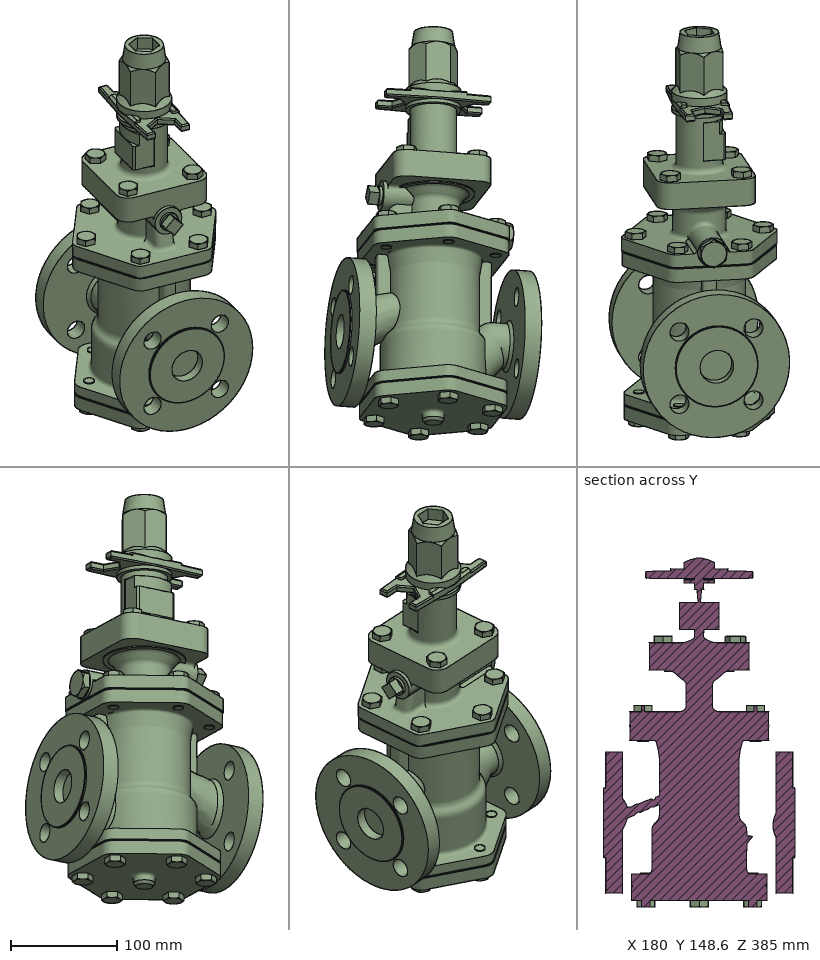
import cadquery as cq
import math

COS30 = math.cos(math.radians(30))

FACE_TO_FACE = 180
FLANGE_RADIUS = 70
FLANGE_THICKNESS = 16
RAISED_FACE_HEIGHT = 2
RAISED_FACE_RADIUS = 39.5
RAISED_FACE_CHAMFER = 0.7
FLANGE_INNER_X = FACE_TO_FACE / 2 - RAISED_FACE_HEIGHT - FLANGE_THICKNESS
PORT_RADIUS = 16
PORT_DEPTH = 10
FLANGE_HOLE_DIAMETER = 18
FLANGE_HOLE_CIRCLE = 100
NECK_FLARE = 3

PLUG_BOTTOM_Z = -83
BOTTOM_COVER_Z = -73.3
BOTTOM_SEAM_Z = -59.5
BODY_BASE_Z = -48.2
BODY_HEAD_Z = 77.2
COVER_SEAM_Z = 91
COVER_TOP_Z = 104.3
SQUARE_BOTTOM_Z = 143.3
SQUARE_SEAM_Z = 156.3
SQUARE_TOP_Z = 169.3
LOWER_COLLAR_Z = 225
HANDLE_BOTTOM_Z = 229.3
HANDLE_TOP_Z = 236.5
CAP_CYLINDER_TOP_Z = 244.4
CAP_HEX_TOP_Z = 287
CAP_TOP_Z = 302

COVER_APOTHEM = 65.5
COVER_OVERALL_Y = 148.55
COVER_CORNER_RADIUS = (COVER_APOTHEM / COS30 - COVER_OVERALL_Y / 2) / (1 / COS30 - 1)
CAST_CORNER_RADIUS = 13
BOTTOM_APOTHEM = 63.9
GASKET_THICKNESS = 1.2
GASKET_INSET = 0.8

BOLT_WIDTH = 17
BOLT_HEAD_HEIGHT = 6
BOLT_CHAMFER_DROP = 0.6
STUD_RADIUS = 5
STUD_PROJECTION = 1
COVER_BOLT_RADIUS = 61
BOTTOM_BOLT_RADIUS = 58

SQUARE_WIDTH = 94
SQUARE_CORNER_RADIUS = 13
SQUARE_BOLT_OFFSET = 34

BODY_LOWER_RADIUS = 49.8
BODY_UPPER_RADIUS = 43.5
RIB_REACH = 55
RIB_WIDTH = 12.6
RIB_BOTTOM_Z = 5
RIB_CORNER_RADIUS = 2

BONNET_RADIUS = 25
BONNET_FILLET = 4.4
PILOT_BOSS_Z = 105.8
PILOT_BOSS_RADIUS = 14
PILOT_BOSS_END_X = -68
PILOT_ROOT_FILLET = 4
PILOT_PLUG_END_X = -75
PILOT_PLUG_WIDTH = 24
BOSS_FILLET_HALF_WIDTH = 17.4
BOSS_FILLET_HEIGHT = 4.5
SIDE_BOSS_Z = 137
SIDE_BOSS_RADIUS = 14
SIDE_BOSS_END_X = 50.8
SIDE_BOSS_BLEND = 3.3
SIDE_PLUG_NECK_X = 53.7
SIDE_PLUG_NECK_RADIUS = 9
SIDE_PLUG_END_X = 63.3
SIDE_PLUG_SIDE = 13
GUSSET_HALF_WIDTH = 9.6
GUSSET_CORNER_RADIUS = 6
GUSSET_FOOT_FILLET = 4.4

COLUMN_RADIUS = 22
COLUMN_FILLET = 5.5
PAD_HALF_WIDTH = 20.5
PAD_FRONT_Y = -21.6
PAD_BOTTOM_Z = 181.5
PAD_STEP_Z = 207
PAD_TOP_Z = 219
PAD_CHAMFER = 2
PAD_ARC_END_Y = -15.4

COLLAR_RADIUS = 26
COLLAR_HEIGHT = 3.5
HANDLE_HALF_LENGTH = 50.5
HANDLE_TIP_Y = 22.5
HANDLE_MIDDLE_Y = 25
NOTCH_HALF_WIDTH = 13.5
NOTCH_SHOULDER_X = 36.5
NOTCH_BOTTOM_X = 28
HANDLE_CHAMFER = 1.3
HANDLE_PAD_HALF_LENGTH = 27
HANDLE_PAD_INNER_Y = 16.5
HANDLE_PAD_SLOPE_WIDTH = 4
HANDLE_PAD_HEIGHT = 2.6
HANDLE_PAD_CORNER_RADIUS = 2.5
CAP_HEX_WIDTH = 41
CAP_NECK_RADIUS = 20.5
CAP_TIP_RADIUS = 18.2
CAP_CHAMFER_DROP = 3.3
SOCKET_WIDTH = 25
SOCKET_DEPTH = 12


def hexagon(width_across_flats, corners_on_y=False):
    """Hexagonal sketch with corners on the local X axis, or on the local Y axis."""
    sketch = cq.Sketch().regularPolygon(width_across_flats / 2 / COS30, 6)
    return sketch if corners_on_y else sketch.moved(cq.Location(cq.Vector(), cq.Vector(0, 0, 1), 30))


def disc(radius, bottom, top):
    return cq.Workplane("XY").workplane(offset=bottom).circle(radius).extrude(top - bottom)


def x_cylinder(radius, start_x, end_x, z=0):
    return cq.Workplane("YZ", origin=(start_x, 0, z)).circle(radius).extrude(end_x - start_x)


def block(x_range, y_range, z_range):
    size = [high - low for low, high in (x_range, y_range, z_range)]
    return cq.Workplane("XY").box(*size, centered=False).translate((x_range[0], y_range[0], z_range[0]))


def hexagonal_plate(apothem, corner_radius, bottom, top):
    plate = cq.Workplane("XY").workplane(offset=bottom).placeSketch(hexagon(2 * apothem, True))
    return plate.extrude(top - bottom).edges("|Z").fillet(corner_radius)


def cover_pair(apothem, upper_corner, lower_corner, bottom, seam, top):
    """Two bolted hexagonal plates with a slightly recessed gasket between them."""
    gasket_bottom = seam - GASKET_THICKNESS / 2
    gasket_top = seam + GASKET_THICKNESS / 2
    lower = hexagonal_plate(apothem, lower_corner, bottom, gasket_bottom)
    gasket = hexagonal_plate(apothem - GASKET_INSET, lower_corner, gasket_bottom, gasket_top)
    upper = hexagonal_plate(apothem, upper_corner, gasket_top, top)
    return lower.union(gasket).union(upper)


def bolt_head(corners_on_y):
    """Hexagonal head standing on Z = 0, its top edge turned down to a circle."""
    head = cq.Workplane("XY").placeSketch(hexagon(BOLT_WIDTH, corners_on_y)).extrude(BOLT_HEAD_HEIGHT)
    corner = BOLT_WIDTH / 2 / COS30
    turned = (
        cq.Workplane("XZ")
        .moveTo(0, 0)
        .lineTo(corner, 0)
        .lineTo(corner, BOLT_HEAD_HEIGHT - BOLT_CHAMFER_DROP)
        .lineTo(BOLT_WIDTH / 2, BOLT_HEAD_HEIGHT)
        .lineTo(0, BOLT_HEAD_HEIGHT)
        .close()
        .revolve(360, (0, 0), (0, 1))
    )
    return head.intersect(turned)


def bolt_ring(radius):
    """Six bolt positions, the first on the Y axis."""
    angles = [math.radians(90 + 60 * i) for i in range(6)]
    return [(radius * math.cos(a), radius * math.sin(a)) for a in angles]


def pipe_flange(side):
    """Flange with raised face and bolt holes; side is -1 for -X and 1 for +X."""
    outer_x = FACE_TO_FACE / 2 - RAISED_FACE_HEIGHT
    flange = x_cylinder(FLANGE_RADIUS, FLANGE_INNER_X, outer_x)
    face = x_cylinder(RAISED_FACE_RADIUS, outer_x, FACE_TO_FACE / 2)
    flange = flange.union(face.faces(">X").chamfer(RAISED_FACE_CHAMFER))
    holes = (
        cq.Workplane("YZ", origin=(FLANGE_INNER_X, 0, 0))
        .polarArray(FLANGE_HOLE_CIRCLE / 2, 45, 360, 4)
        .circle(FLANGE_HOLE_DIAMETER / 2)
        .extrude(FLANGE_THICKNESS)
    )
    flange = flange.cut(holes)
    return flange if side > 0 else flange.mirror("YZ")


def port(side):
    """Blind bore entering from the raised face."""
    outer_x = side * FACE_TO_FACE / 2
    return x_cylinder(PORT_RADIUS, outer_x, outer_x - side * PORT_DEPTH)


def body_barrel():
    """Turned body: wide lower chamber, curved shoulder, narrow upper chamber, flared head."""
    base_fillet = 4
    shoulder_bottom = -7
    shoulder_middle = 0
    shoulder_top = 6.7
    middle_radius = (BODY_LOWER_RADIUS + BODY_UPPER_RADIUS) / 2
    head_cone_bottom = 61.4
    head_cone_top = 74.7
    head_radius = 45.8
    head_fillet = BODY_HEAD_Z - head_cone_top
    return (
        cq.Workplane("XZ")
        .moveTo(0, BODY_BASE_Z)
        .lineTo(BODY_LOWER_RADIUS + base_fillet, BODY_BASE_Z)
        .radiusArc((BODY_LOWER_RADIUS, BODY_BASE_Z + base_fillet), base_fillet)
        .lineTo(BODY_LOWER_RADIUS, shoulder_bottom)
        .tangentArcPoint((middle_radius, shoulder_middle), relative=False)
        .tangentArcPoint((BODY_UPPER_RADIUS, shoulder_top), relative=False)
        .lineTo(BODY_UPPER_RADIUS, head_cone_bottom)
        .lineTo(head_radius, head_cone_top)
        .radiusArc((head_radius + head_fillet, BODY_HEAD_Z), head_fillet)
        .lineTo(0, BODY_HEAD_Z)
        .close()
        .revolve(360, (0, 0), (0, 1))
    )


def cone_along(start, direction, length, start_radius, end_radius):
    return cq.Workplane(
        cq.Solid.makeCone(start_radius, end_radius, length, cq.Vector(*start), cq.Vector(*direction))
    )


def inlet():
    """Elbow leaving the -X flange horizontally and dropping into the lower chamber."""
    pipe_radius = 21.5
    elbow_x = -57
    elbow_z = -2.5
    drop_angle = math.radians(48)
    drop_length = 50
    drop_end_radius = 22
    flare_radius = pipe_radius + NECK_FLARE
    horizontal = x_cylinder(pipe_radius, -FLANGE_INNER_X, elbow_x, elbow_z)
    flare = cone_along((-FLANGE_INNER_X, 0, elbow_z), (1, 0, 0), NECK_FLARE, flare_radius, pipe_radius)
    elbow = cq.Workplane("XY").sphere(pipe_radius).translate((elbow_x, 0, elbow_z))
    drop_direction = (math.cos(drop_angle), 0, -math.sin(drop_angle))
    drop = cone_along((elbow_x, 0, elbow_z), drop_direction, drop_length, pipe_radius, drop_end_radius)
    above_base = block((-FLANGE_INNER_X, 0), (-FLANGE_RADIUS, FLANGE_RADIUS), (BODY_BASE_Z, BODY_HEAD_Z))
    return horizontal.union(flare).union(elbow).union(drop).intersect(above_base)


def elliptic_pipe(start, end):
    """Straight-sided pipe between two upright ellipses, each given as x, z, half width and half height."""
    start_x, start_z, start_half_width, start_half_height = start
    end_x, end_z, end_half_width, end_half_height = end
    return (
        cq.Workplane("YZ", origin=(start_x, 0, start_z))
        .ellipse(start_half_width, start_half_height)
        .workplane(offset=end_x - start_x)
        .center(0, end_z - start_z)
        .ellipse(end_half_width, end_half_height)
        .loft(ruled=True)
    )


def outlet():
    """Oval pipe rising from the +X flange into the upper chamber, flared where it meets the flange."""
    half_width = 22
    neck_half_height = 26
    inner_end = (25, 26, half_width, 19)
    neck = (67.5, 9.3, half_width, neck_half_height)
    root = (FLANGE_INNER_X, 8, half_width + NECK_FLARE, neck_half_height + NECK_FLARE)
    return elliptic_pipe(inner_end, neck).union(elliptic_pipe(neck, root))


def body_ribs():
    rib = block((-RIB_REACH, RIB_REACH), (-RIB_WIDTH / 2, RIB_WIDTH / 2), (RIB_BOTTOM_Z, BODY_HEAD_Z))
    return rib.edges("|Z").fillet(RIB_CORNER_RADIUS)


def bottom_plug():
    plug_radius = 10.2
    tip_radius = 8
    root_fillet = 3
    tip_height = 3
    return (
        cq.Workplane("XZ")
        .moveTo(0, BOTTOM_COVER_Z)
        .lineTo(plug_radius + root_fillet, BOTTOM_COVER_Z)
        .radiusArc((plug_radius, BOTTOM_COVER_Z - root_fillet), -root_fillet)
        .lineTo(plug_radius, PLUG_BOTTOM_Z + tip_height)
        .lineTo(tip_radius, PLUG_BOTTOM_Z)
        .lineTo(0, PLUG_BOTTOM_Z)
        .close()
        .revolve(360, (0, 0), (0, 1))
    )


def bonnet():
    """Turned neck between the cover and the square flanges, flared at both ends."""
    disc_radius = 39
    disc_bottom = SQUARE_BOTTOM_Z - 1.2
    flare_bottom = 130
    flare_start = (27.3, 135)
    flare_end = (31, 139.8)
    flare_root_radius = 34
    return (
        cq.Workplane("XZ")
        .moveTo(0, COVER_TOP_Z)
        .lineTo(BONNET_RADIUS + BONNET_FILLET, COVER_TOP_Z)
        .radiusArc((BONNET_RADIUS, COVER_TOP_Z + BONNET_FILLET), BONNET_FILLET)
        .lineTo(BONNET_RADIUS, flare_bottom)
        .tangentArcPoint(flare_start, relative=False)
        .lineTo(*flare_end)
        .tangentArcPoint((flare_root_radius, disc_bottom), relative=False)
        .lineTo(disc_radius, disc_bottom)
        .lineTo(disc_radius, SQUARE_BOTTOM_Z)
        .lineTo(0, SQUARE_BOTTOM_Z)
        .close()
        .revolve(360, (0, 0), (0, 1))
    )


def pilot_boss():
    """Round boss lying in the cover towards -X, closed by a hexagonal plug."""
    plug_length = PILOT_BOSS_END_X - PILOT_PLUG_END_X
    boss = x_cylinder(PILOT_BOSS_RADIUS, PILOT_BOSS_END_X, 0, PILOT_BOSS_Z)
    plug = (
        cq.Workplane("YZ", origin=(PILOT_PLUG_END_X, 0, PILOT_BOSS_Z))
        .placeSketch(hexagon(PILOT_PLUG_WIDTH, True))
        .extrude(plug_length)
    )
    rim = x_cylinder(PILOT_BOSS_RADIUS, PILOT_PLUG_END_X, PILOT_BOSS_END_X, PILOT_BOSS_Z)
    plug = plug.intersect(rim.faces("<X").chamfer(PILOT_BOSS_RADIUS - PILOT_PLUG_WIDTH / 2))
    fillet_top_half_width = 12.7
    fillet_strip = (
        cq.Workplane("YZ", origin=(-COVER_APOTHEM, 0, COVER_TOP_Z))
        .moveTo(-BOSS_FILLET_HALF_WIDTH, 0)
        .radiusArc((-fillet_top_half_width, BOSS_FILLET_HEIGHT), -BOSS_FILLET_HALF_WIDTH / 2)
        .lineTo(fillet_top_half_width, BOSS_FILLET_HEIGHT)
        .radiusArc((BOSS_FILLET_HALF_WIDTH, 0), -BOSS_FILLET_HALF_WIDTH / 2)
        .close()
        .extrude(COVER_APOTHEM)
    )
    core_bottom = PILOT_BOSS_Z - PILOT_BOSS_RADIUS - 2 * PILOT_ROOT_FILLET
    core = disc(BONNET_RADIUS, core_bottom, SQUARE_BOTTOM_Z)
    root_top = PILOT_BOSS_Z + PILOT_BOSS_RADIUS
    root_bottom = PILOT_BOSS_Z - PILOT_BOSS_RADIUS
    margin = 1
    root_edge = cq.selectors.BoxSelector(
        (-BONNET_RADIUS - margin, -BONNET_RADIUS, root_bottom - margin),
        (-margin, BONNET_RADIUS, root_top + margin),
    )
    boss = core.union(boss).edges("not(#Z or |Z)").edges(root_edge).fillet(PILOT_ROOT_FILLET)
    return boss.union(plug).union(fillet_strip)


def gusset():
    """Rounded rib standing on the cover under the side boss, filleted at its foot."""
    foot_x = 48
    head_x = 40
    rib = (
        cq.Workplane("XZ", origin=(0, GUSSET_HALF_WIDTH, 0))
        .moveTo(0, COVER_TOP_Z)
        .lineTo(foot_x, COVER_TOP_Z)
        .lineTo(head_x, SIDE_BOSS_Z)
        .lineTo(0, SIDE_BOSS_Z)
        .close()
        .extrude(2 * GUSSET_HALF_WIDTH)
    )
    rib = rib.faces(">X").edges("not |Y").fillet(GUSSET_CORNER_RADIUS)
    seat_half_width = COVER_APOTHEM / 2
    seat = block((0, COVER_APOTHEM), (-seat_half_width, seat_half_width), (COVER_SEAM_Z, COVER_TOP_Z))
    margin = 1
    reach_y = GUSSET_HALF_WIDTH + margin
    foot_edges = cq.selectors.BoxSelector(
        (margin, -reach_y, COVER_TOP_Z - margin), (COVER_APOTHEM - margin, reach_y, COVER_TOP_Z + margin)
    )
    return seat.union(rib).edges(foot_edges).fillet(GUSSET_FOOT_FILLET)


def side_boss():
    """Boss towards +X that blends up into the square flange and holds a square-headed plug."""
    boss = x_cylinder(SIDE_BOSS_RADIUS, 0, SIDE_BOSS_END_X, SIDE_BOSS_Z)
    neck = x_cylinder(SIDE_PLUG_NECK_RADIUS, SIDE_BOSS_END_X, SIDE_PLUG_NECK_X, SIDE_BOSS_Z)
    plug = (
        cq.Workplane("YZ", origin=(SIDE_PLUG_NECK_X, 0, SIDE_BOSS_Z))
        .transformed(rotate=(0, 0, 45))
        .rect(SIDE_PLUG_SIDE, SIDE_PLUG_SIDE)
        .extrude(SIDE_PLUG_END_X - SIDE_PLUG_NECK_X)
    )
    blend_bottom_z = SQUARE_BOTTOM_Z - SIDE_BOSS_BLEND
    blend_bottom_y = math.sqrt(SIDE_BOSS_RADIUS**2 - (blend_bottom_z - SIDE_BOSS_Z) ** 2)
    blend_top_y = blend_bottom_y + SIDE_BOSS_BLEND
    blend = (
        cq.Workplane("YZ")
        .moveTo(-blend_top_y, SQUARE_BOTTOM_Z)
        .radiusArc((-blend_bottom_y, blend_bottom_z), SIDE_BOSS_BLEND)
        .lineTo(blend_bottom_y, blend_bottom_z)
        .radiusArc((blend_top_y, SQUARE_BOTTOM_Z), SIDE_BOSS_BLEND)
        .close()
        .extrude(SQUARE_WIDTH / 2)
    )
    return boss.union(neck).union(plug).union(blend)


def square_plate(bottom, top):
    plate = cq.Workplane("XY").workplane(offset=bottom).rect(SQUARE_WIDTH, SQUARE_WIDTH)
    return plate.extrude(top - bottom).edges("|Z").fillet(SQUARE_CORNER_RADIUS)


def column():
    """Round column with a flat-sided pad on its -Y half, stepped back to an arc at the top."""
    shaft = (
        cq.Workplane("XZ")
        .moveTo(0, SQUARE_TOP_Z)
        .lineTo(COLUMN_RADIUS + COLUMN_FILLET, SQUARE_TOP_Z)
        .radiusArc((COLUMN_RADIUS, SQUARE_TOP_Z + COLUMN_FILLET), COLUMN_FILLET)
        .lineTo(COLUMN_RADIUS, LOWER_COLLAR_Z)
        .lineTo(0, LOWER_COLLAR_Z)
        .close()
        .revolve(360, (0, 0), (0, 1))
    )
    recess = block((-2 * COLUMN_RADIUS, 2 * COLUMN_RADIUS), (-2 * COLUMN_RADIUS, 0), (PAD_BOTTOM_Z, PAD_TOP_Z))
    pad = block((-PAD_HALF_WIDTH, PAD_HALF_WIDTH), (PAD_FRONT_Y, 0), (PAD_BOTTOM_Z, PAD_STEP_Z))
    pad = pad.edges("|Z and <Y").chamfer(PAD_CHAMFER)
    step = (
        cq.Workplane("XY")
        .workplane(offset=PAD_STEP_Z)
        .moveTo(-PAD_HALF_WIDTH, 0)
        .lineTo(-PAD_HALF_WIDTH, PAD_ARC_END_Y)
        .threePointArc((0, PAD_FRONT_Y), (PAD_HALF_WIDTH, PAD_ARC_END_Y))
        .lineTo(PAD_HALF_WIDTH, 0)
        .close()
        .extrude(PAD_TOP_Z - PAD_STEP_Z)
    )
    return shaft.cut(recess).union(pad).union(step)


def handle():
    """Flat handle with a V notch between two tips at each end and a sloped pad along each side."""
    right_end = [
        (0, HANDLE_MIDDLE_Y),
        (HANDLE_HALF_LENGTH, HANDLE_TIP_Y),
        (HANDLE_HALF_LENGTH, NOTCH_HALF_WIDTH),
        (NOTCH_SHOULDER_X, NOTCH_HALF_WIDTH),
        (NOTCH_BOTTOM_X, 0),
        (NOTCH_SHOULDER_X, -NOTCH_HALF_WIDTH),
        (HANDLE_HALF_LENGTH, -NOTCH_HALF_WIDTH),
        (HANDLE_HALF_LENGTH, -HANDLE_TIP_Y),
    ]
    left_end = [(-x, -y) for x, y in right_end]
    base_plane = cq.Workplane("XY").workplane(offset=HANDLE_BOTTOM_Z)
    plate = base_plane.polyline(right_end + left_end).close().extrude(HANDLE_TOP_Z - HANDLE_BOTTOM_Z)
    plate = plate.faces("|Z").chamfer(HANDLE_CHAMFER)
    pad_x = (-HANDLE_PAD_HALF_LENGTH, HANDLE_PAD_HALF_LENGTH)
    pad_y = (HANDLE_PAD_INNER_Y, HANDLE_MIDDLE_Y)
    pad_top_z = HANDLE_TOP_Z + HANDLE_PAD_HEIGHT
    pad = block(pad_x, pad_y, (HANDLE_TOP_Z - HANDLE_CHAMFER, pad_top_z))
    pad = pad.edges(">Y and >Z").chamfer(HANDLE_PAD_HEIGHT, HANDLE_PAD_SLOPE_WIDTH)
    pad = pad.edges("|Z and <Y").fillet(HANDLE_PAD_CORNER_RADIUS)
    outline = base_plane.polyline(right_end + left_end).close().extrude(pad_top_z - HANDLE_BOTTOM_Z)
    pad = pad.intersect(outline)
    return plate.union(pad).union(pad.mirror("XZ"))


def adjusting_cap():
    """Hexagonal cap on a round base, with a tapered tip holding a hexagonal socket."""
    hex_corner = CAP_HEX_WIDTH / 2 / COS30
    base_cone_height = COLLAR_RADIUS - CAP_NECK_RADIUS
    base = disc(COLLAR_RADIUS, HANDLE_TOP_Z, CAP_CYLINDER_TOP_Z + base_cone_height)
    base = base.faces(">Z").chamfer(base_cone_height)
    nut = (
        cq.Workplane("XY")
        .workplane(offset=CAP_CYLINDER_TOP_Z)
        .placeSketch(hexagon(CAP_HEX_WIDTH))
        .extrude(CAP_HEX_TOP_Z - CAP_CYLINDER_TOP_Z)
    )
    envelope = disc(hex_corner, CAP_CYLINDER_TOP_Z, CAP_HEX_TOP_Z)
    nut = nut.intersect(envelope.faces(">Z").chamfer(CAP_CHAMFER_DROP, hex_corner - CAP_NECK_RADIUS))
    tip = cone_along(
        (0, 0, CAP_HEX_TOP_Z), (0, 0, 1), CAP_TOP_Z - CAP_HEX_TOP_Z, CAP_NECK_RADIUS, CAP_TIP_RADIUS
    )
    socket = (
        cq.Workplane("XY")
        .workplane(offset=CAP_TOP_Z - SOCKET_DEPTH)
        .placeSketch(hexagon(SOCKET_WIDTH))
        .extrude(SOCKET_DEPTH)
    )
    return base.union(nut).union(tip).cut(socket)


result = body_barrel().union(body_ribs()).union(inlet()).union(outlet())
for flange_side in (-1, 1):
    result = result.union(pipe_flange(flange_side)).cut(port(flange_side))

result = result.union(
    cover_pair(
        BOTTOM_APOTHEM, CAST_CORNER_RADIUS, CAST_CORNER_RADIUS, BOTTOM_COVER_Z, BOTTOM_SEAM_Z, BODY_BASE_Z
    )
)
result = result.union(
    cover_pair(
        COVER_APOTHEM, COVER_CORNER_RADIUS, CAST_CORNER_RADIUS, BODY_HEAD_Z, COVER_SEAM_Z, COVER_TOP_Z
    )
)
result = result.union(bottom_plug())

for x, y in bolt_ring(COVER_BOLT_RADIUS):
    result = result.union(bolt_head(True).translate((x, y, COVER_TOP_Z)))
    result = result.union(disc(STUD_RADIUS, BODY_HEAD_Z - STUD_PROJECTION, BODY_HEAD_Z).translate((x, y, 0)))
for x, y in bolt_ring(BOTTOM_BOLT_RADIUS):
    result = result.union(bolt_head(True).mirror("XY").translate((x, y, BOTTOM_COVER_Z)))
    result = result.union(disc(STUD_RADIUS, BODY_BASE_Z, BODY_BASE_Z + STUD_PROJECTION).translate((x, y, 0)))

result = result.union(bonnet()).union(pilot_boss()).union(side_boss()).union(gusset())

square_flanges = square_plate(SQUARE_BOTTOM_Z, SQUARE_SEAM_Z).union(
    square_plate(SQUARE_SEAM_Z, SQUARE_TOP_Z), clean=False
)
result = result.union(square_flanges, clean=False)
for x_sign in (-1, 1):
    for y_sign in (-1, 1):
        position = (x_sign * SQUARE_BOLT_OFFSET, y_sign * SQUARE_BOLT_OFFSET, SQUARE_TOP_Z)
        result = result.union(bolt_head(x_sign != y_sign).translate(position), clean=False)

lower_collar = disc(COLLAR_RADIUS, LOWER_COLLAR_Z, LOWER_COLLAR_Z + COLLAR_HEIGHT)
handle_hub = disc(COLUMN_RADIUS, LOWER_COLLAR_Z, HANDLE_TOP_Z)
for upper_part in (column(), lower_collar, handle_hub, handle(), adjusting_cap()):
    result = result.union(upper_part, clean=False)